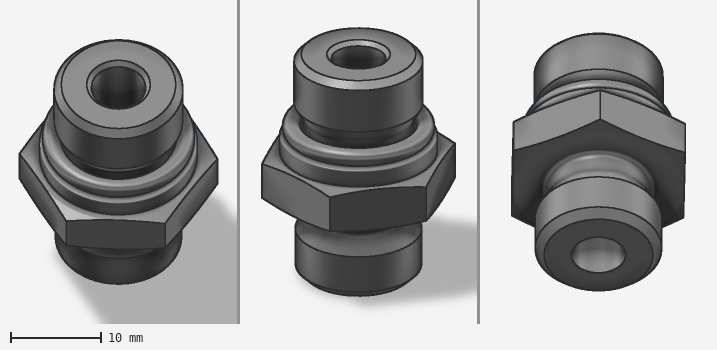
import cadquery as cq
import math

length = 27.0
hex_across_flats = 19.0
hex_across_corners = hex_across_flats / math.cos(math.radians(30))
hex_bottom = 10.0
hex_height = 5.02
hex_top = hex_bottom + hex_height
hex_chamfer_angle = 15.0
hex_face_diameter = 18.95

collar_diameter = 17.5
collar_height = 2.0
collar_top = hex_top + collar_height
collar_edge_radius = 0.15

stud_diameter = 14.28
stud_neck_diameter = 12.23
stud_cone_top = 21.03
stud_chamfer = 0.8

lower_diameter = 14.0
lower_neck_diameter = 11.7
lower_cone_bottom = 5.37
lower_chamfer = 0.97

cone_angle = 30.0
neck_blend_radius = 1.0

bore_diameter = 6.0
bore_chamfer = 0.5

ring_section_diameter = 2.0
ring_outer_diameter = 16.85


def cone_height(large_diameter, small_diameter):
    """Axial length of a run-out cone between two diameters."""
    return (large_diameter - small_diameter) / 2 / math.tan(math.radians(cone_angle))


def make_hexagon():
    """Hexagon with flats facing +X and -X and its corners turned off at both ends."""
    prism = (
        cq.Workplane("XY", origin=(0, 0, hex_bottom))
        .polygon(6, hex_across_corners)
        .extrude(hex_height)
        .rotate((0, 0, 0), (0, 0, 1), 30)
    )
    face_radius = hex_face_diameter / 2
    corner_radius = hex_across_corners / 2 + 0.27
    drop = (corner_radius - face_radius) * math.tan(math.radians(hex_chamfer_angle))
    turned_envelope = (
        cq.Workplane("XZ")
        .polyline([
            (0, hex_bottom),
            (face_radius, hex_bottom),
            (corner_radius, hex_bottom + drop),
            (corner_radius, hex_top - drop),
            (face_radius, hex_top),
            (0, hex_top),
        ])
        .close()
        .revolve(360, (0, 0), (0, 1))
    )
    return prism.intersect(turned_envelope)


def revolve_stud(end_z, chamfer, diameter, cone_z, neck_diameter, root_z):
    """Chamfered stud with a cone down to a neck that ends at root_z."""
    inward = math.copysign(1, root_z - end_z)
    neck_z = cone_z + inward * cone_height(diameter, neck_diameter)
    stud = (
        cq.Workplane("XZ")
        .polyline([
            (0, end_z),
            (diameter / 2 - chamfer, end_z),
            (diameter / 2, end_z + inward * chamfer),
            (diameter / 2, cone_z),
            (neck_diameter / 2, neck_z),
            (neck_diameter / 2, root_z),
            (0, root_z),
        ])
        .close()
        .revolve(360, (0, 0), (0, 1))
    )
    neck_corner = cq.selectors.BoxSelector(
        (-diameter, -diameter, neck_z - 0.03), (diameter, diameter, neck_z + 0.03), boundingbox=True
    )
    return stud.edges(neck_corner).edges("%CIRCLE").fillet(neck_blend_radius)


def make_collar():
    """Round collar on top of the hexagon, with a softened upper edge."""
    return (
        cq.Workplane("XY", origin=(0, 0, hex_top))
        .circle(collar_diameter / 2)
        .extrude(collar_height)
        .faces(">Z")
        .edges()
        .fillet(collar_edge_radius)
    )


def make_root_blend(neck_diameter, face_z, radius, direction):
    """Concave round between a neck and a flat face; direction is +1 above the face, -1 below."""
    neck_radius = neck_diameter / 2
    mid_offset = radius * (1 - math.sqrt(0.5))
    far_z = face_z + direction * radius
    return (
        cq.Workplane("XZ")
        .moveTo(0, face_z)
        .lineTo(neck_radius + radius, face_z)
        .threePointArc(
            (neck_radius + mid_offset, face_z + direction * mid_offset),
            (neck_radius, far_z),
        )
        .lineTo(0, far_z)
        .close()
        .revolve(360, (0, 0), (0, 1))
    )


def make_bore():
    """Through bore with a chamfered mouth at the top."""
    bore_radius = bore_diameter / 2
    return (
        cq.Workplane("XZ")
        .polyline([
            (0, 0),
            (bore_radius, 0),
            (bore_radius, length - bore_chamfer),
            (bore_radius + bore_chamfer, length),
            (0, length),
        ])
        .close()
        .revolve(360, (0, 0), (0, 1))
    )


def make_fitting():
    """Double-ended screw fitting."""
    upper_stud = revolve_stud(
        length, stud_chamfer, stud_diameter, stud_cone_top, stud_neck_diameter, collar_top
    )
    lower_stud = revolve_stud(
        0, lower_chamfer, lower_diameter, lower_cone_bottom, lower_neck_diameter, hex_bottom
    )
    stud_root = make_root_blend(stud_neck_diameter, collar_top, neck_blend_radius, 1)
    lower_root = make_root_blend(lower_neck_diameter, hex_bottom, neck_blend_radius, -1)
    return (
        make_hexagon()
        .union(make_collar())
        .union(upper_stud)
        .union(lower_stud)
        .union(stud_root)
        .union(lower_root)
        .cut(make_bore())
    )


def make_seal_ring():
    """O-ring resting on top of the collar."""
    section_radius = ring_section_diameter / 2
    centre_radius = ring_outer_diameter / 2 - section_radius
    return (
        cq.Workplane("XZ")
        .center(centre_radius, collar_top + section_radius)
        .circle(section_radius)
        .revolve(360, (-centre_radius, 0), (-centre_radius, 1))
    )


fitting = make_fitting()
seal_ring = make_seal_ring()
result = cq.Compound.makeCompound([fitting.val(), seal_ring.val()])